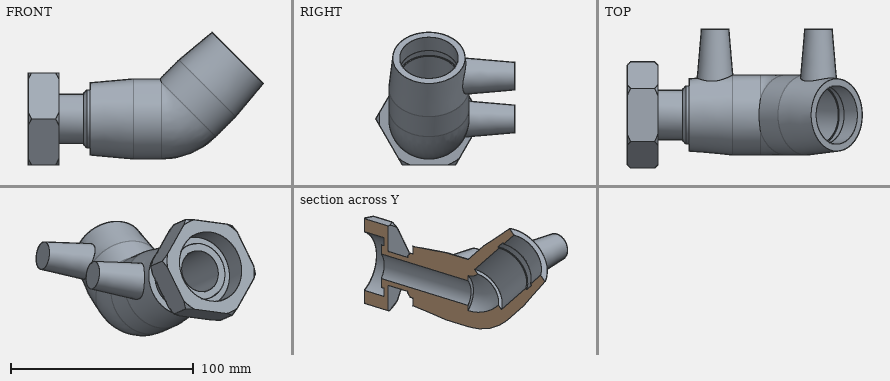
import cadquery as cq
import math

nut_length = 17.0
nut_across_flats = 50.6
nut_across_corners = nut_across_flats / math.cos(math.pi / 6)
nut_chamfer = 1.9
nut_bore_diameter = 39.0
nut_bore_depth = 13.8

spigot_diameter = 27.2
spigot_bore_diameter = 23.0
spigot_face_x = 12.0
spigot_face_diameter = 31.2
collar_diameter = 32.0
collar_start = 30.5
collar_chamfer = 1.8

body_diameter = 44.0
sleeve_end_diameter = 39.7
sleeve_start = 34.0
taper_length = 23.6
straight_length = 15.5
sleeve_length = taper_length + straight_length
elbow_start = sleeve_start + sleeve_length
elbow_radius = 20.0
elbow_angle = 45
elbow_bore_diameter = spigot_diameter
socket_diameter = collar_diameter
groove_diameter = 33.5
groove_depth = 10.3
groove_width = 4.5

terminal_tip_y = 47.1
terminal_tip_diameter = 15.2
terminal_root_diameter = 19.7
terminal_taper_length = 26.2
terminal_root_y = terminal_tip_y - terminal_taper_length
terminal_base_y = 17.4
terminal_offset = 14.2

angle = math.radians(elbow_angle)
outlet_direction = cq.Vector(math.cos(angle), 0, math.sin(angle))
elbow_end = cq.Vector(
    elbow_start + elbow_radius * math.sin(angle), 0, elbow_radius * (1 - math.cos(angle))
)


def x_cylinder(diameter, start, end):
    return cq.Workplane("YZ", origin=(start, 0, 0)).circle(diameter / 2).extrude(end - start)


def outlet_cylinder(diameter, start, length):
    """Cylinder on the outlet axis, placed by its distance from the elbow end."""
    plane = cq.Plane(origin=elbow_end + outlet_direction * start, normal=outlet_direction)
    return cq.Workplane(plane).circle(diameter / 2).extrude(length)


def make_sleeve():
    """Solid sleeve along +X from its narrow end: a cone, then a cylinder."""
    body_radius = body_diameter / 2
    profile = (
        cq.Workplane("XZ")
        .lineTo(0, sleeve_end_diameter / 2)
        .lineTo(taper_length, body_radius)
        .lineTo(sleeve_length, body_radius)
        .lineTo(sleeve_length, 0)
        .close()
    )
    return profile.revolve(360, (0, 0, 0), (1, 0, 0))


def elbow_sweep(section):
    """Turn a section at the elbow start about the bend axis."""
    return section.revolve(elbow_angle, (1.3, elbow_radius, 0), (-1.3, elbow_radius, 0))


def make_elbow():
    """The bend axis cuts the round section, so only the part outside it is turned."""
    radius = body_diameter / 2
    half_chord = math.sqrt(radius**2 - elbow_radius**2)
    section = (
        cq.Workplane("YZ", origin=(elbow_start, 0, 0))
        .moveTo(-half_chord, elbow_radius)
        .threePointArc((0, -radius), (half_chord, elbow_radius))
        .close()
    )
    return elbow_sweep(section)


def make_nut():
    hexagon = cq.Workplane("YZ").polygon(6, nut_across_corners).extrude(nut_length)
    chamfered_round = x_cylinder(nut_across_corners, 0, nut_length).edges().chamfer(nut_chamfer)
    bore = x_cylinder(nut_bore_diameter, 0, nut_bore_depth)
    return hexagon.intersect(chamfered_round).cut(bore)


def make_spigot():
    tube = x_cylinder(spigot_diameter, spigot_face_x, elbow_start)
    face_flange = x_cylinder(spigot_face_diameter, spigot_face_x, nut_length)
    collar = x_cylinder(collar_diameter, collar_start, elbow_start)
    collar = collar.faces("<X").chamfer(collar_chamfer)
    return tube.union(face_flange).union(collar)


def make_terminal(x, z):
    """Cone along +Y, continued at the same taper into the sleeve wall."""
    growth = (terminal_root_diameter - terminal_tip_diameter) / terminal_taper_length
    base_diameter = terminal_root_diameter + growth * (terminal_root_y - terminal_base_y)
    cone = cq.Solid.makeCone(
        base_diameter / 2,
        terminal_tip_diameter / 2,
        terminal_tip_y - terminal_base_y,
        pnt=cq.Vector(x, terminal_base_y, z),
        dir=cq.Vector(0, 1, 0),
    )
    return cq.Workplane(cone)


inlet_sleeve = make_sleeve().translate((sleeve_start, 0, 0))
outlet_sleeve = (
    make_sleeve()
    .rotate((0, 0, 0), (0, 1, 0), 180 - elbow_angle)
    .translate(elbow_end + outlet_direction * sleeve_length)
)
result = inlet_sleeve.union(make_elbow()).union(outlet_sleeve)
result = result.union(make_spigot()).union(make_nut())

outlet_terminal = elbow_end + outlet_direction * (sleeve_length - terminal_offset)
for x, z in [(sleeve_start + terminal_offset, 0), (outlet_terminal.x, outlet_terminal.z)]:
    result = result.union(make_terminal(x, z))

elbow_bore = elbow_sweep(
    cq.Workplane("YZ", origin=(elbow_start, 0, 0)).circle(elbow_bore_diameter / 2)
)
groove_start = sleeve_length - groove_depth - groove_width
result = (
    result.cut(x_cylinder(spigot_bore_diameter, 0, elbow_start))
    .cut(elbow_bore)
    .cut(outlet_cylinder(socket_diameter, 0, sleeve_length))
    .cut(outlet_cylinder(groove_diameter, groove_start, groove_width))
)